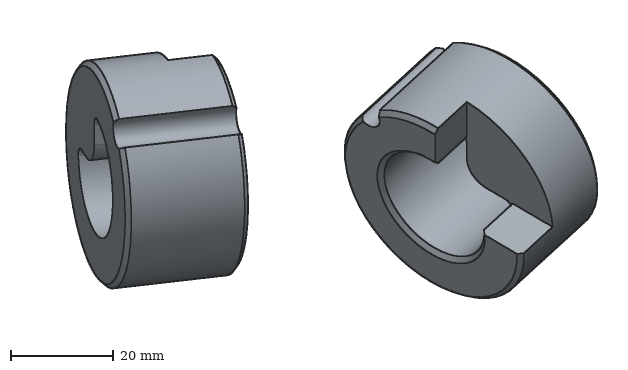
import cadquery as cq
import math

outer_radius = 22.5
length = 25.0
chamfer_size = 1.0
bore_radius = 12.5
wall_offset = 1.0
notch_depth = 10.0
web_corner_radius = 5.0
bore_corner_radius = 2.0
groove_radius = 3.0
groove_angle = 45.0

notch_floor = length - notch_depth


def cylinder(radius, start, end, x=0.0, z=0.0):
    """Solid cylinder along Y between two Y positions."""
    return cq.Workplane("XZ", origin=(x, start, z)).circle(radius).extrude(start - end)


def upper_left_quadrant(start, end):
    """Block covering the -X, +Z quadrant beyond the wall offset."""
    return cq.Workplane("XY").box(
        outer_radius, end - start, outer_radius, centered=False
    ).translate((-wall_offset - outer_radius, start, wall_offset))


def front_bore():
    """Three-quarter bore with rounded corners, up to the notch floor."""
    opening = cylinder(bore_radius, 0, notch_floor).cut(upper_left_quadrant(0, notch_floor))
    middle = notch_floor / 2
    reach = math.sqrt(bore_radius**2 - wall_offset**2)

    def edge_at(x, z):
        return cq.selectors.NearestToPointSelector((x, middle, z))

    opening = opening.edges(edge_at(-wall_offset, wall_offset)).fillet(web_corner_radius)
    for x, z in [(-reach, wall_offset), (-wall_offset, reach)]:
        opening = opening.edges(edge_at(x, z)).fillet(bore_corner_radius)
    return opening


def back_bore():
    """Full round bore behind the notch floor, chamfered at the back face."""
    bore = cylinder(bore_radius, notch_floor, length)
    mouth = cq.Solid.makeCone(
        bore_radius,
        bore_radius + chamfer_size,
        chamfer_size,
        pnt=cq.Vector(0, length - chamfer_size, 0),
        dir=cq.Vector(0, 1, 0),
    )
    return bore.union(cq.Workplane(mouth))


def rim_groove():
    """Round groove centred on the outer surface, along the full length."""
    angle = math.radians(groove_angle)
    return cylinder(
        groove_radius, 0, length, outer_radius * math.cos(angle), outer_radius * math.sin(angle)
    )


body = cylinder(outer_radius, 0, length).faces("<Y or >Y").chamfer(chamfer_size)
result = (
    body.cut(front_bore())
    .cut(back_bore())
    .cut(upper_left_quadrant(notch_floor, length))
    .cut(rim_groove())
)